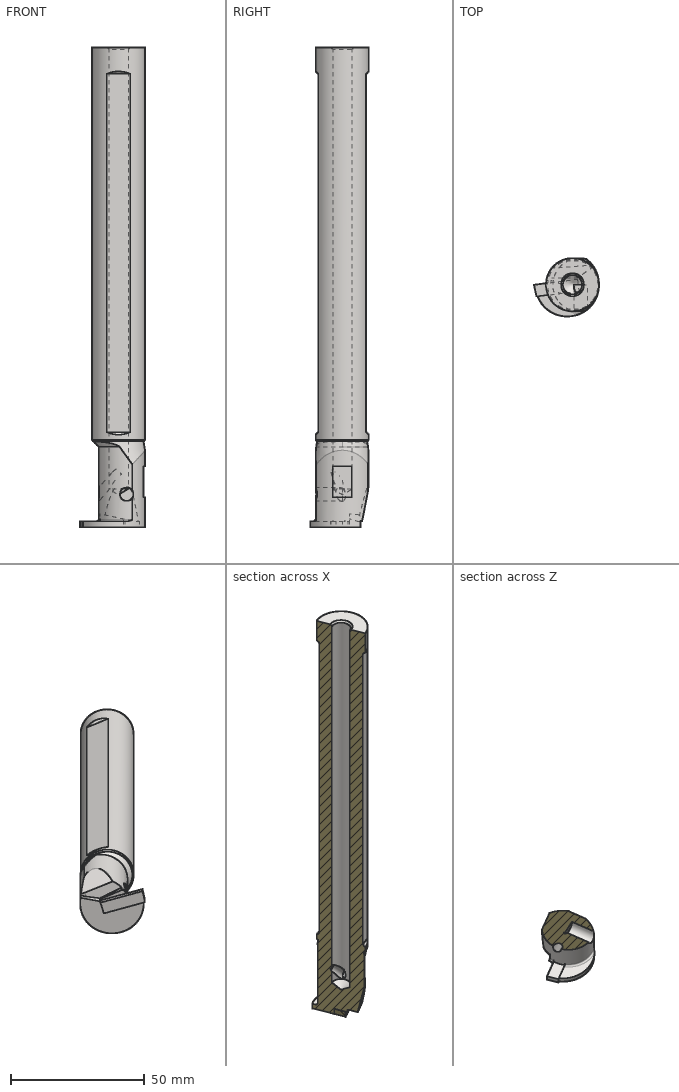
import cadquery as cq
import math

length = 180.0
overall_width = 24.5
shank_diameter = 20.0
shank_radius = shank_diameter / 2

flat_depth = 0.99
flat_bottom_z = 34.7
flat_top_z = 171.0

shank_end_z = 32.0
shank_chamfer = 0.7
neck_radius = shank_radius
neck_center_x = 2.5
neck_left_x = neck_center_x - neck_radius
neck_top_z = shank_end_z + shank_chamfer
head_diameter = 24.0
head_radius = head_diameter / 2
head_center_x = shank_radius - head_radius

cone_low_z = 23.4
cone_low_radius = 11.0
cone_angle = 10.0

flange_height = 2.3
flange_fillet = 0.7

tip_corner_x = shank_radius - overall_width
rake_angle = 7.4
tip_end_x = 1.8
tip_width = 4.5
tip_relief = 0.4

pocket_edge_y = 2.7
pocket_wall_angle = 55.0
pocket_high_z = 5.2
pocket_low_z = 3.2
slope_low_offset = 4.1
slope_high_offset = 8.0
slope_high_z = 17.1
clearance = 21.6

bore_radius = 3.6
bore_mouth_radius = 4.3
bore_bottom_z = 14.4
drill_half_angle = 59.0
outlet_z = 12.5
side_outlet_radius = 2.5
side_outlet_x = 3.0
jet_radius = 1.71
jet_y = -0.5
jet_angle = 48.0
jet_turn = 15.0
jet_length = 11.7

label_depth = 0.5
label_bottom_z = 11.3
label_top_z = 22.9

rake_u = cq.Vector(math.cos(math.radians(rake_angle)), math.sin(math.radians(rake_angle)), 0)
rake_w = cq.Vector(-rake_u.y, rake_u.x, 0)
tip_corner = cq.Vector(tip_corner_x, 0, 0)
tip_length = (tip_end_x - tip_corner_x) / rake_u.x
tip_end = (tip_end_x, tip_length * rake_u.y)


def rod(radius, bottom_z, top_z, x=0.0):
    """Vertical round bar centred on (x, 0)."""
    return cq.Workplane("XY", origin=(x, 0, bottom_z)).circle(radius).extrude(top_z - bottom_z)


def make_shank():
    """Round shank with a small chamfer at its lower end."""
    return rod(shank_radius, shank_end_z, length).faces("<Z").chamfer(shank_chamfer)


def make_flats():
    """Two trapezoidal cutters with 45 degree ramps at both ends."""
    inner = shank_radius - flat_depth
    outer = shank_radius + flat_depth
    cutter = (
        cq.Workplane("YZ", origin=(-shank_radius, 0, 0))
        .moveTo(inner, flat_bottom_z + flat_depth)
        .lineTo(inner, flat_top_z - flat_depth)
        .lineTo(outer, flat_top_z + flat_depth)
        .lineTo(outer, flat_bottom_z - flat_depth)
        .close()
        .extrude(2 * shank_radius)
    )
    return cutter.union(cutter.mirror("XZ"))


def make_trim_cone():
    """Solid of revolution about the shank axis that the neck must stay inside."""
    top_radius = cone_low_radius - (neck_top_z - cone_low_z) * math.tan(math.radians(cone_angle))
    base_radius = 2 * shank_radius
    base_z = cone_low_z - (base_radius - cone_low_radius) / math.tan(math.radians(cone_angle))
    return (
        cq.Workplane("XZ")
        .moveTo(0, base_z)
        .lineTo(base_radius, base_z)
        .lineTo(top_radius, neck_top_z)
        .lineTo(0, neck_top_z)
        .close()
        .revolve(360, (0, 0, 0), (0, 1, 0))
    )


def make_transition():
    """45 degree oblique cylinder that shifts from the shank axis to the neck axis."""
    shift = cq.Vector(neck_center_x, 0, -neck_center_x)
    start = cq.Wire.makeCircle(shank_radius, cq.Vector(0, 0, neck_top_z), cq.Vector(0, 0, 1))
    return cq.Workplane(cq.Solid.extrudeLinear(start, [], shift))


def make_neck_fillet():
    """Concave ring that blends the neck into the flange."""
    root_z = flange_height + flange_fillet
    outer = neck_radius + flange_fillet
    bulge = flange_fillet * (1 - math.sqrt(0.5))
    return (
        cq.Workplane("XZ", origin=(neck_center_x, 0, 0))
        .moveTo(0, flange_height)
        .lineTo(outer, flange_height)
        .threePointArc((neck_radius + bulge, flange_height + bulge), (neck_radius, root_z))
        .lineTo(0, root_z)
        .close()
        .revolve(360, (0, 0, 0), (0, 1, 0))
    )


def make_head():
    """Flange and offset neck, both bounded by the head circle."""
    head_bar = rod(head_radius, 0, neck_top_z, head_center_x)
    neck_bar = rod(neck_radius, 0, neck_top_z - neck_center_x, neck_center_x)
    envelope = make_trim_cone().intersect(head_bar)
    neck = neck_bar.intersect(envelope).union(make_transition().intersect(envelope))
    fillet = make_neck_fillet().cut(make_tip_prism(flange_height + flange_fillet)).intersect(head_bar)
    return neck.union(fillet).union(rod(head_radius, 0, flange_height, head_center_x))


def make_tip_prism(height):
    """Plan outline of the cutting tip, with a relieved end face, raised to the given height."""
    plan = cq.Workplane(cq.Plane(tip_corner, rake_u, (0, 0, 1)))
    outline = [(0, 0), (tip_relief, -tip_width), (tip_length, -tip_width), (tip_length, 0)]
    return plan.polyline(outline).close().extrude(height)


def make_chip_pocket():
    """Space beside the tip, and above it a wider space under a roof that falls towards the back wall."""
    wall_end_x = tip_end_x + clearance * math.tan(math.radians(pocket_wall_angle))
    inner_corner = (tip_end_x, pocket_edge_y)
    wall_end = (wall_end_x, pocket_edge_y + clearance)
    outer_corner = (-clearance, pocket_edge_y + clearance)
    tip_space = (
        cq.Workplane("XY")
        .polyline([(tip_corner_x, 0), tip_end, inner_corner, wall_end, outer_corner, (-clearance, 0)])
        .close()
        .extrude(flange_height)
    )
    upper_space = (
        cq.Workplane("XY")
        .polyline([(-clearance, pocket_edge_y), inner_corner, wall_end, outer_corner])
        .close()
        .extrude(clearance)
    )
    roof_slope = (pocket_low_z - pocket_high_z) / (tip_end_x - neck_left_x)
    outer_roof_z = pocket_high_z + roof_slope * (-clearance - neck_left_x)
    inner_roof_z = pocket_high_z + roof_slope * (clearance - neck_left_x)
    under_roof = (
        cq.Workplane("XZ")
        .polyline([(-clearance, 0), (clearance, 0), (clearance, inner_roof_z), (-clearance, outer_roof_z)])
        .close()
        .extrude(2 * clearance, both=True)
    )
    return tip_space.union(upper_space.intersect(under_roof))


def make_slope_cut():
    """Steep face that relieves the head along the rake direction."""
    end = cq.Workplane(cq.Plane(tip_corner, rake_w, rake_u))
    outline = [
        (slope_low_offset, 0),
        (slope_high_offset, slope_high_z),
        (clearance, slope_high_z),
        (clearance, 0),
    ]
    return end.polyline(outline).close().extrude(2 * clearance)


def make_coolant_bore():
    """Drilled bore from the top, with a countersunk mouth and a conical bottom."""
    point_z = bore_bottom_z - bore_radius / math.tan(math.radians(drill_half_angle))
    mouth = bore_mouth_radius - bore_radius
    return (
        cq.Workplane("XZ")
        .moveTo(0, point_z)
        .lineTo(bore_radius, bore_bottom_z)
        .lineTo(bore_radius, length - mouth)
        .lineTo(bore_mouth_radius, length)
        .lineTo(0, length)
        .close()
        .revolve(360, (0, 0, 0), (0, 1, 0))
    )


def make_outlets():
    """One outlet square to -Y and one jet slanted down towards the cutting tip."""
    side = (
        cq.Workplane("XZ", origin=(side_outlet_x, 0, outlet_z))
        .circle(side_outlet_radius)
        .extrude(clearance)
    )
    turn = math.radians(jet_turn)
    slant = math.radians(jet_angle)
    inward = cq.Vector(
        math.cos(slant) * math.cos(turn), -math.cos(slant) * math.sin(turn), math.sin(slant)
    )
    mouth = cq.Vector(neck_left_x, jet_y, outlet_z)
    jet = cq.Solid.makeCylinder(jet_radius, 2 * jet_length, mouth - inward * jet_length, inward)
    return side.union(cq.Workplane(jet))


def make_label_flat():
    """Shallow flat on the +X side of the head."""
    height = label_top_z - label_bottom_z
    return cq.Workplane("XY", origin=(shank_radius - label_depth, 0, label_bottom_z)).box(
        clearance, clearance, height, centered=(False, True, False)
    )


tip = make_tip_prism(flange_height)

head = (
    make_head()
    .cut(make_slope_cut())
    .cut(make_chip_pocket())
    .cut(make_label_flat())
    .cut(tip)
)

holder = (
    make_shank()
    .cut(make_flats())
    .union(head)
    .cut(make_coolant_bore())
    .cut(make_outlets())
)

result = cq.Compound.makeCompound([holder.val(), tip.val()])